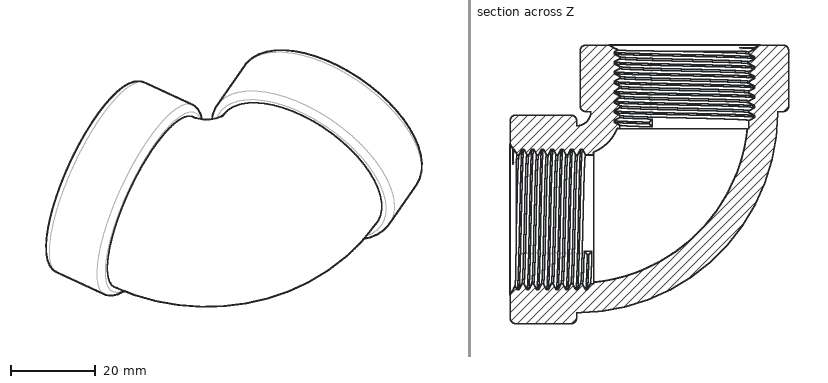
import cadquery as cq
import math

overall_length = 66.05
collar_diameter = 49.5
collar_length = 15.85
collar_edge_radius = 1.45
collar_radius = collar_diameter / 2
face_distance = overall_length - collar_radius

body_radius = 22.2
cavity_radius = 15.05
bend_radius = face_distance - collar_length

thread_pitch = 2.3
thread_minor_radius = 15.2
thread_major_radius = 16.6
thread_root_flat = 0.4
thread_flank_angle = 27.5
thread_length = 19.8
liner_radius = 18.5
mouth_radius = 17.8
mouth_half_angle = 60.0

groove_inner_radius = thread_minor_radius - 0.3
thread_turns = 9
thread_start_angle = 330.0


def quarter_bend(radius):
    """Round quarter torus joining the inner faces of the two collars."""
    return (
        cq.Workplane("YZ", origin=(-bend_radius, 0, 0))
        .circle(radius)
        .revolve(90, (bend_radius, 0, 0), (bend_radius, 1, 0))
    )


def liner_core():
    """Cylinder that the threaded liner takes up inside the body."""
    return cq.Workplane("XY").circle(liner_radius).extrude(thread_length)


def groove_turn():
    """First turn of the helical groove, starting one pitch outside the open face."""
    root_half = thread_root_flat / 2
    flank_height = thread_major_radius - groove_inner_radius
    opening_half = root_half + flank_height * math.tan(math.radians(thread_flank_angle))
    corners = [
        (groove_inner_radius, -opening_half),
        (thread_major_radius, -root_half),
        (thread_major_radius, root_half),
        (groove_inner_radius, opening_half),
    ]
    edges = []
    for radius, height in corners:
        helix = cq.Wire.makeHelix(thread_pitch, thread_pitch, radius)
        edges.append(helix.translate(cq.Vector(0, 0, height)).Edges()[0])

    walls = [cq.Face.makeRuledSurface(edges[i - 1], edges[i]) for i in range(len(edges))]
    for position in (0, 1):
        points = [edge.positionAt(position) for edge in edges]
        walls.append(cq.Face.makeFromWires(cq.Wire.makePolygon(points, close=True)))
    groove = cq.Workplane(obj=cq.Solid.makeSolid(cq.Shell.makeShell(walls)).fix())
    return groove.rotate((0, 0, 0), (0, 0, 1), thread_start_angle).translate((0, 0, -thread_pitch))


def threaded_collar():
    """Threaded collar opening at Z = 0, with a liner that carries the thread on into the bend."""
    blank = (
        cq.Workplane("XY", origin=(0, 0, -2 * thread_pitch))
        .circle(collar_radius)
        .circle(thread_minor_radius)
        .extrude(thread_length + 2 * thread_pitch)
    )
    envelope = (
        cq.Workplane("XY")
        .circle(collar_radius)
        .extrude(collar_length)
        .edges()
        .fillet(collar_edge_radius)
        .union(liner_core())
    )
    mouth = (
        cq.Workplane("XZ")
        .lineTo(mouth_radius, 0)
        .lineTo(0, mouth_radius / math.tan(math.radians(mouth_half_angle)))
        .close()
        .revolve(360, (0, 0, 0), (0, 1, 0))
    )
    turn = groove_turn()
    for index in range(thread_turns):
        blank = blank.cut(turn.translate((0, 0, index * thread_pitch)), clean=False)
    return blank.intersect(envelope.cut(mouth), clean=False)


socket_planes = [
    cq.Plane(origin=(-face_distance, 0, 0), xDir=(0, 0, -1), normal=(1, 0, 0)),
    cq.Plane(origin=(0, face_distance, 0), xDir=(0, 0, -1), normal=(0, -1, 0)),
]


def place(shape, plane):
    """Move a shape from socket coordinates onto the part."""
    return cq.Workplane(obj=shape.val().moved(cq.Location(plane)))


result = quarter_bend(body_radius).cut(quarter_bend(cavity_radius))
for plane in socket_planes:
    result = result.cut(place(liner_core(), plane))
    result = result.union(place(threaded_collar(), plane), clean=False)